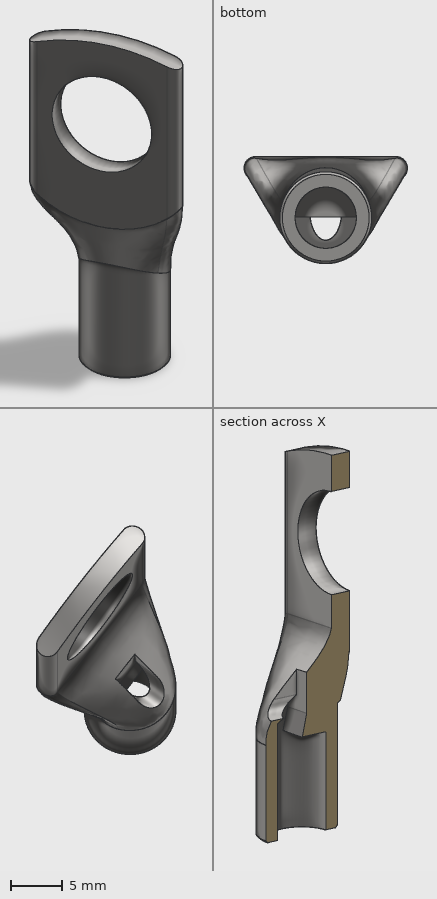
import cadquery as cq
import math


barrel_diameter = 9.0
barrel_radius = barrel_diameter / 2
bore_diameter = 6.0
bore_radius = bore_diameter / 2
barrel_offset = 1.5
barrel_y = barrel_offset + barrel_radius
barrel_back = barrel_y + barrel_radius
barrel_height = 10.0
barrel_chamfer = 0.25

overall_height = 38.12
palm_width = 16.0
palm_half_width = palm_width / 2
palm_thickness = 2.3
palm_edge_radius = palm_thickness / 2
palm_flat_half_width = palm_half_width - palm_edge_radius
palm_top_radius = 21.0
palm_top_drop = palm_top_radius - math.sqrt(palm_top_radius**2 - palm_half_width**2)
stud_hole_diameter = 10.5
stud_hole_z = overall_height - 9.0

neck_top = 20.9
neck_swell_start = 10.5
neck_side_start = 11.4
neck_inset = 0.04
neck_front_y = neck_inset
neck_back_y = palm_thickness - neck_inset
palm_face_bottom = 17.6
back_seam_depth = 1.6
front_seam_depth = 1.7
neck_lip_y = 0.86
neck_lip_z = 13.1
neck_shoulder_y = 7.0
underside_mid = (4.33, 11.1)
neck_loft_bottom = 9.2
neck_section_count = 12

cavity_front_y = 5.95
cavity_back_z = 11.9
cavity_tip_z = 13.9
window_width = 3.1
window_bottom = 12.35
window_end_y = 5.4


def smooth_step(z, start, end):
    """Rise from 0 to 1 between two heights, level at both ends."""
    t = min(max((z - start) / (end - start), 0.0), 1.0)
    return t * t * (3 - 2 * t)


def mix(low, high, share):
    return low + (high - low) * share


def barrel_x(depth):
    """Half width of the barrel outline at a distance from its axis."""
    return math.sqrt(barrel_radius**2 - depth**2)


def neck_section(z):
    """Closed outline of the neck: the barrel circle at the bottom, the palm section at the top."""
    swell = smooth_step(z, neck_swell_start, neck_top)
    side = smooth_step(z, neck_side_start, neck_top)
    face = smooth_step(z, neck_swell_start, palm_face_bottom)

    front_x = mix(barrel_x(front_seam_depth), palm_flat_half_width, swell)
    front_y = mix(barrel_y - front_seam_depth, neck_front_y, side)
    back_x = mix(barrel_x(back_seam_depth), palm_flat_half_width, swell)
    back_y = mix(barrel_y + back_seam_depth, neck_back_y, side)
    side_x = mix(barrel_radius, palm_half_width - neck_inset, swell)
    side_y = mix(barrel_y, palm_edge_radius, side)
    front_middle = (0, mix(barrel_offset, neck_front_y, face))
    back_middle = (0, mix(barrel_back, neck_back_y, swell))

    outline = cq.Workplane("XY", origin=(0, 0, z)).moveTo(-front_x, front_y)
    if z < neck_top:
        outline = outline.threePointArc(front_middle, (front_x, front_y))
    else:
        outline = outline.lineTo(front_x, front_y)
    outline = outline.threePointArc((side_x, side_y), (back_x, back_y))
    if z < neck_top:
        outline = outline.threePointArc(back_middle, (-back_x, back_y))
    else:
        outline = outline.lineTo(-back_x, back_y)
    return outline.threePointArc((-side_x, side_y), (-front_x, front_y)).close().wire().val()


def above_underside():
    """Space above the neck underside, which climbs from the barrel top to the front lip."""
    return (
        cq.Workplane("YZ")
        .moveTo(barrel_back + palm_width, barrel_height)
        .lineTo(neck_shoulder_y, barrel_height)
        .threePointArc(underside_mid, (neck_lip_y, neck_lip_z))
        .lineTo(-palm_width, neck_lip_z)
        .lineTo(-palm_width, overall_height)
        .lineTo(barrel_back + palm_width, overall_height)
        .close()
        .extrude(palm_width, both=True)
    )


def make_barrel():
    blank = cq.Workplane("XY").center(0, barrel_y).circle(barrel_radius).extrude(neck_lip_z)
    return blank.faces("<Z").chamfer(barrel_chamfer).cut(above_underside())


def make_neck():
    step = (neck_top - neck_loft_bottom) / (neck_section_count - 1)
    sections = [neck_section(neck_loft_bottom + step * i) for i in range(neck_section_count - 1)]
    sections.append(neck_section(neck_top))
    loft = cq.Workplane(cq.Solid.makeLoft(sections))
    return loft.intersect(above_underside())


def make_palm():
    """Bar with fully rounded edges, arched at the top and bottom."""
    bar = (
        cq.Workplane("XY")
        .center(0, palm_edge_radius)
        .slot2D(palm_width, palm_thickness)
        .extrude(overall_height)
    )
    shoulder_z = overall_height - palm_top_drop
    face_outline = (
        cq.Workplane("XZ")
        .moveTo(-palm_half_width, neck_top)
        .threePointArc((0, palm_face_bottom), (palm_half_width, neck_top))
        .lineTo(palm_half_width, shoulder_z)
        .threePointArc((0, overall_height), (-palm_half_width, shoulder_z))
        .close()
        .extrude(-palm_thickness)
    )
    return bar.intersect(face_outline)


def stud_hole():
    return (
        cq.Workplane("XZ")
        .center(0, stud_hole_z)
        .circle(stud_hole_diameter / 2)
        .extrude(-palm_thickness)
    )


def bore():
    return cq.Workplane("XY").center(0, barrel_y).circle(bore_radius).extrude(barrel_height)


def cavity():
    """Rear half of the bore carried on into the neck, narrowing to a tip."""
    profile = (
        cq.Workplane("YZ")
        .moveTo(cavity_front_y, barrel_height)
        .lineTo(barrel_y + bore_radius, barrel_height)
        .lineTo(barrel_y + bore_radius, cavity_back_z)
        .lineTo(window_end_y, cavity_tip_z)
        .lineTo(window_end_y, window_bottom)
        .close()
        .extrude(bore_radius, both=True)
    )
    column = cq.Workplane("XY").center(0, barrel_y).circle(bore_radius).extrude(neck_top)
    return profile.intersect(column)


def window():
    """Slot with a round bottom, entering from the back and open at the top."""
    radius = window_width / 2
    return (
        cq.Workplane("XZ", origin=(0, window_end_y, 0))
        .moveTo(-radius, neck_top)
        .lineTo(-radius, window_bottom + radius)
        .threePointArc((0, window_bottom), (radius, window_bottom + radius))
        .lineTo(radius, neck_top)
        .close()
        .extrude(-barrel_back)
    )


lug = make_barrel().union(make_neck()).union(make_palm())
hollow = bore().union(cavity()).union(window())
result = lug.cut(hollow).cut(stud_hole())